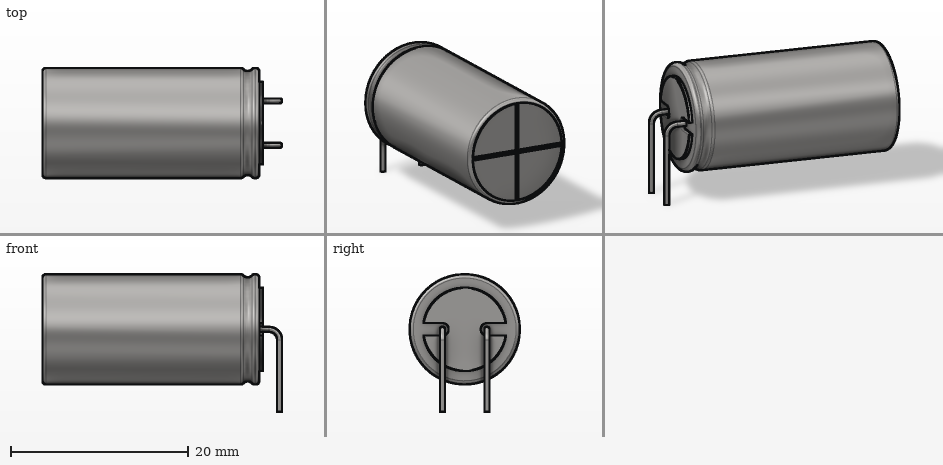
import cadquery as cq
import math

can_diameter = 12.5
can_radius = can_diameter / 2
can_length = 24.53
corner_radius = 0.43

bead_center_x = 23.2
bead_depth = 0.35
bead_half_width = 0.8
lip_radius = 0.43

recess_diameter = 11.5
recess_depth = 0.1
score_width = 0.4
score_floor_width = 0.25
score_depth = 0.1

plug_diameter = 9.45
plug_height = 0.4
plug_edge_radius = 0.05
notch_radius = 0.7

lead_diameter = 0.6
lead_pitch = 5.02
lead_offset_y = lead_pitch / 2
lead_bend_radius = 1.2
total_height = 15.6
lead_drop = total_height - can_radius
lead_embed = 0.55
total_length = 27.1


def make_can():
    """Revolve the can outline: rounded ends and a bead whose arcs are tangent to each other."""
    center_distance = (bead_half_width**2 + bead_depth**2) / (2 * bead_depth)
    groove_radius = center_distance - lip_radius
    slope = math.asin(bead_half_width / center_distance)
    groove_end_x = groove_radius * math.sin(slope)
    groove_end_r = can_radius - lip_radius * (1 - math.cos(slope))
    lip_mid_x = bead_half_width - lip_radius * math.sin(slope / 2)
    lip_mid_r = can_radius - lip_radius * (1 - math.cos(slope / 2))

    corner_mid = corner_radius * (1 - math.sqrt(0.5))
    outline = (
        cq.Workplane("XY")
        .lineTo(0, can_radius - corner_radius)
        .threePointArc((corner_mid, can_radius - corner_mid), (corner_radius, can_radius))
        .lineTo(bead_center_x - bead_half_width, can_radius)
        .threePointArc((bead_center_x - lip_mid_x, lip_mid_r), (bead_center_x - groove_end_x, groove_end_r))
        .threePointArc((bead_center_x, can_radius - bead_depth), (bead_center_x + groove_end_x, groove_end_r))
        .threePointArc((bead_center_x + lip_mid_x, lip_mid_r), (bead_center_x + bead_half_width, can_radius))
        .lineTo(can_length - corner_radius, can_radius)
        .threePointArc(
            (can_length - corner_mid, can_radius - corner_mid),
            (can_length, can_radius - corner_radius),
        )
        .lineTo(can_length, 0)
        .close()
    )
    return outline.revolve(360, (0, 0, 0), (1, 0, 0))


def make_end_recess():
    """Shallow disc with two crossing grooves below its floor, all kept inside one circle."""
    disc = cq.Workplane("YZ").circle(recess_diameter / 2).extrude(recess_depth)
    boundary = cq.Workplane("YZ").circle(recess_diameter / 2).extrude(recess_depth + score_depth)
    groove = (
        cq.Workplane("XY")
        .moveTo(recess_depth, -score_width / 2)
        .lineTo(recess_depth + score_depth, -score_floor_width / 2)
        .lineTo(recess_depth + score_depth, score_floor_width / 2)
        .lineTo(recess_depth, score_width / 2)
        .close()
        .extrude(recess_diameter / 2, both=True)
        .intersect(boundary)
    )
    return disc.union(groove).union(groove.rotate((0, 0, 0), (1, 0, 0), 90))


def make_plug():
    """Disc with a U-shaped notch from each lead out to the rim, its outer edges rounded."""
    base = cq.Workplane("YZ", origin=(can_length, 0, 0))
    plug = base.circle(plug_diameter / 2).extrude(plug_height)
    slot_run = plug_diameter / 2
    for side in (-1, 1):
        notch = (
            base.center(side * (lead_offset_y + slot_run / 2), 0)
            .slot2D(slot_run + 2 * notch_radius, 2 * notch_radius)
            .extrude(plug_height)
        )
        plug = plug.cut(notch)
    return plug.faces(">X").edges().fillet(plug_edge_radius)


def make_lead(y):
    """Round wire swept along a straight, a quarter bend and a long drop."""
    start_x = can_length - lead_embed
    drop_x = total_length - lead_diameter / 2
    bend_x = drop_x - lead_bend_radius
    bend_mid = lead_bend_radius * math.sqrt(0.5)
    path = (
        cq.Workplane("XZ", origin=(0, y, 0))
        .moveTo(start_x, 0)
        .lineTo(bend_x, 0)
        .threePointArc((bend_x + bend_mid, bend_mid - lead_bend_radius), (drop_x, -lead_bend_radius))
        .lineTo(drop_x, -lead_drop)
    )
    return cq.Workplane("YZ", origin=(start_x, y, 0)).circle(lead_diameter / 2).sweep(path)


result = make_can().cut(make_end_recess()).union(make_plug())
for lead_y in (-lead_offset_y, lead_offset_y):
    result = result.union(make_lead(lead_y))